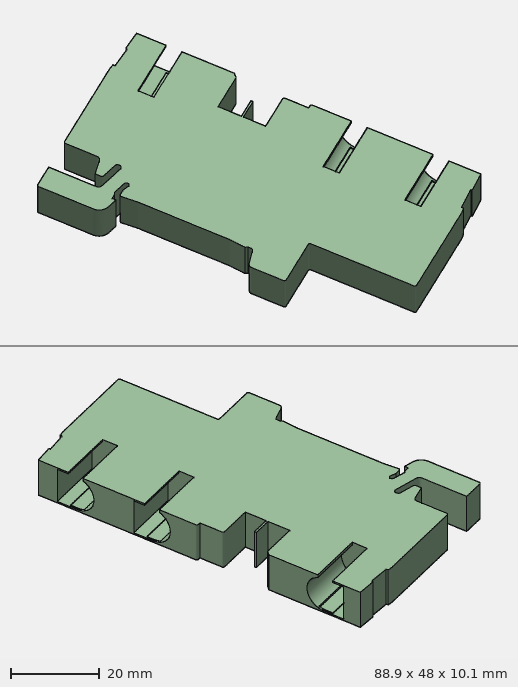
import cadquery as cq
import math

length = 88.9
height = 48.0
thickness = 10.1

shoulder_y = 13.4
rail_face_y = 6.2
rail_pad_y = 5.9
tooth_tip_y = 8.9
leg_bottom_y = 1.5
notch_floor_y = 38.05
low_top_y = 46.9

end_top_inset = 1.0
end_step_y = 43.1
end_step_land = 0.5
end_step_inner = 1.1
end_step_outer = 0.7
end_ledge_y = 37.8
end_ledge_inset = 0.2
end_slope_y = 36.5

notch_left_x = 26.6
notch_right_x = 38.6
notch_chamfer = 0.9
low_top_end_x = 45.0
pin_x = 32.45
pin_width = 0.5
pin_top_y = 42.85
pin_embed = 0.9

slant = math.tan(math.radians(15))
foot_top_y = 5.9
foot_top_end_x = 12.9
tooth_left_x = 9.25
tooth_tip_left_x = 10.2
tooth_tip_right_x = 12.1
slit_top_y = 13.5
slit_width = 1.6
slit_radius = 0.7
latch_y = 4.5
latch_tip_x = 17.7
latch_inner_x = 16.7
latch_flat = 1.25
latch_rise = 1.7
latch_undercut = 0.3
relief_top_y = 9.9
relief_width = 1.3
relief_radius = 0.5
relief_kink_y = 7.7
hook_x = 17.9
heel_radius = 2.9

left_pad_end_x = 22.4
right_pad_x = 45.5
right_pad_end_x = 49.6
pad_step_run = 0.5
leg_left_x = 51.4
leg_right_x = 62.0

edge_radius = 0.45
bend_radius = 1.1

entry_width = 4.0
entry_depth = 14.1
entry_starts = (8.45, 55.2, 75.8)
entry_flat_sides = (-1, 1, 1)
bore_overhang = 2.9
bore_half_height = 4.6
recess_side_gap = 0.3
recess_mouth_gap = 0.5
recess_depth = 0.2


def rounded_wire(corners):
    """Closed outline through (x, y, radius) corners, each radius drawn as a tangent arc."""
    sketch = None
    count = len(corners)
    for i, (x, y, radius) in enumerate(corners):
        corner = cq.Vector(x, y)
        to_last = (cq.Vector(*corners[i - 1][:2]) - corner).normalized()
        to_next = (cq.Vector(*corners[(i + 1) % count][:2]) - corner).normalized()
        half_angle = to_last.getAngle(to_next) / 2
        start = corner + to_last * (radius / math.tan(half_angle))
        if sketch is None:
            sketch = cq.Workplane("XY").moveTo(start.x, start.y)
        else:
            sketch = sketch.lineTo(start.x, start.y)
        if radius > 0:
            end = corner + to_next * (radius / math.tan(half_angle))
            bisector = (to_last + to_next).normalized()
            middle = corner + bisector * (radius / math.sin(half_angle) - radius)
            sketch = sketch.threePointArc((middle.x, middle.y), (end.x, end.y))
    return sketch.close()


def end_profile():
    """Inset from the end plane and height of each corner, from the top edge downwards."""
    return [
        (end_top_inset, height),
        (end_step_outer, end_step_y + end_step_land),
        (end_step_outer, end_step_y),
        (end_step_inner, end_step_y),
        (end_step_outer, end_ledge_y),
        (end_ledge_inset, end_ledge_y),
        (0, end_slope_y),
    ]


def foot_corners():
    """Left shoulder, tooth, slanted slit, foot, latch and relief slit."""
    slit_right_x = foot_top_end_x + (slit_top_y - foot_top_y) * slant
    slit_left_x = slit_right_x - slit_width
    relief_left_x = latch_inner_x - latch_undercut + (relief_top_y - latch_y - latch_rise) * slant
    relief_right_x = relief_left_x + relief_width
    return [
        (0, shoulder_y, edge_radius),
        (tooth_left_x, shoulder_y, bend_radius),
        (tooth_tip_left_x, tooth_tip_y, 0),
        (tooth_tip_right_x, tooth_tip_y, edge_radius),
        (slit_left_x, slit_top_y, slit_radius),
        (slit_right_x, slit_top_y, slit_radius),
        (foot_top_end_x, foot_top_y, bend_radius),
        (0, foot_top_y, 0),
        (0, 0, edge_radius),
        (latch_tip_x - latch_y * slant, 0, heel_radius),
        (latch_tip_x, latch_y, 0),
        (latch_inner_x, latch_y, 0),
        (latch_inner_x, latch_y + latch_flat, 0),
        (latch_inner_x - latch_undercut, latch_y + latch_rise, 0),
        (relief_left_x, relief_top_y, relief_radius),
        (relief_right_x, relief_top_y, relief_radius),
        (hook_x, relief_kink_y, 0),
        (hook_x, rail_pad_y, edge_radius),
    ]


def leg_corners():
    """Rail face with its sloped pads, the right leg and the right shoulder."""
    leg_slope_run = (rail_face_y - leg_bottom_y) * slant
    return [
        (left_pad_end_x, rail_face_y, 0),
        (right_pad_x, rail_face_y, 0),
        (right_pad_end_x, rail_pad_y, 0),
        (right_pad_end_x + pad_step_run, rail_face_y, 0),
        (leg_left_x, rail_face_y, bend_radius / 2),
        (leg_left_x + leg_slope_run, leg_bottom_y, bend_radius),
        (leg_right_x, leg_bottom_y, edge_radius),
        (leg_right_x, shoulder_y, edge_radius),
        (length, shoulder_y, edge_radius),
    ]


def top_corners():
    """Upper edge with the open notch, from right to left."""
    return [
        (low_top_end_x, height, edge_radius),
        (low_top_end_x, low_top_y, 0),
        (notch_right_x, low_top_y, edge_radius),
        (notch_right_x, notch_floor_y, 0),
        (notch_left_x, notch_floor_y, 0),
        (notch_left_x, height - notch_chamfer, 0),
        (notch_left_x - notch_chamfer, height, 0),
    ]


def make_housing():
    left_end = [(inset, y, 0) for inset, y in end_profile()]
    right_end = [(length - inset, y, 0) for inset, y in reversed(end_profile())]
    corners = left_end + foot_corners() + leg_corners() + right_end + top_corners()
    return rounded_wire(corners).extrude(thickness)


def make_pin():
    pin_height = pin_top_y - notch_floor_y + pin_embed
    return cq.Workplane("XY").box(pin_width, pin_height, thickness, centered=False).translate(
        (pin_x, notch_floor_y - pin_embed, 0)
    )


def make_entry(start_x, flat_side):
    """Slot over a D-shaped bore along Y; flat_side is the X direction of the flat wall."""
    back_y = height - entry_depth
    half_width = entry_width / 2
    slot = cq.Workplane("XY").box(
        entry_width, entry_depth, thickness / 2, centered=(True, False, False)
    ).translate((0, back_y, thickness / 2))

    flat_x = half_width + bore_overhang
    round_x = -flat_x + bore_half_height
    bore = (
        cq.Workplane("XZ", origin=(0, height, thickness / 2))
        .moveTo(flat_x, bore_half_height)
        .lineTo(round_x, bore_half_height)
        .threePointArc((-flat_x, 0), (round_x, -bore_half_height))
        .lineTo(flat_x, -bore_half_height)
        .close()
        .extrude(entry_depth)
    )

    floor_z = thickness / 2 - bore_half_height
    recess = cq.Workplane("XY").box(
        entry_width - recess_side_gap, entry_depth - recess_mouth_gap, thickness / 2, centered=False
    ).translate((-half_width, back_y, floor_z - recess_depth))

    entry = slot.union(bore).union(recess)
    if flat_side < 0:
        entry = entry.mirror("YZ")
    return entry.translate((start_x + half_width, 0, 0))


result = make_housing().union(make_pin())
for start_x, flat_side in zip(entry_starts, entry_flat_sides):
    result = result.cut(make_entry(start_x, flat_side))